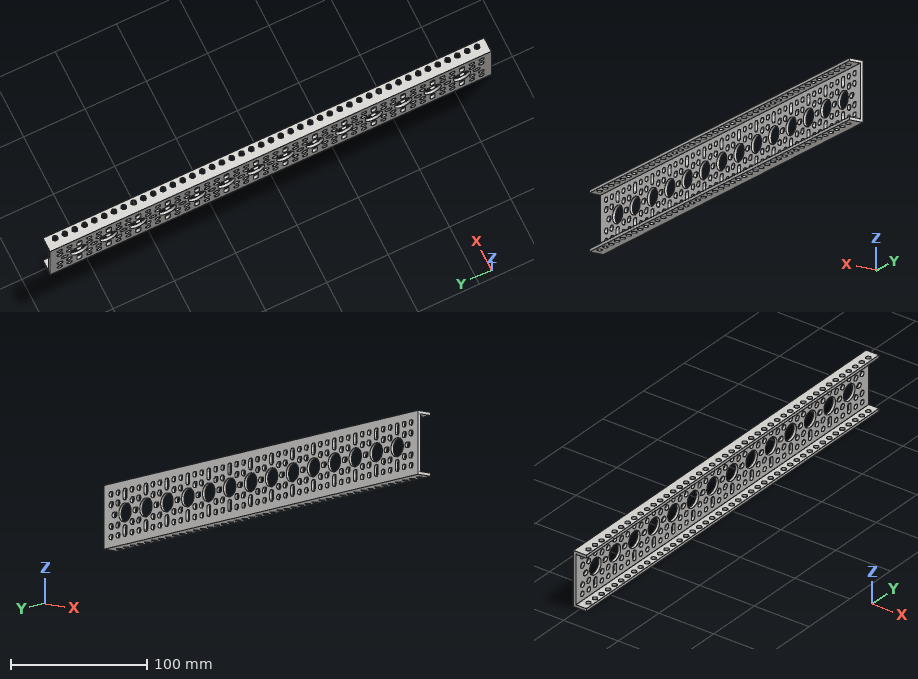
import cadquery as cq
import math

width = 12.0
length = 360.0
height = 48.0
thickness = 2.5

pitch = 8.0
large_hole_pitch = 3 * pitch
large_hole_count = 14
large_hole_diameter = 14.0
small_hole_diameter = 4.0
outer_row_z = 2 * pitch
flange_hole_count = 44
flange_hole_x = 8.0

square_pattern_radius = pitch * math.sqrt(2)
bolt_circle_radius = 12.0
diagonal_slot_radius = (square_pattern_radius + bolt_circle_radius) / 2
diagonal_slot_length = bolt_circle_radius - square_pattern_radius + small_hole_diameter
upright_slot_z = (square_pattern_radius + outer_row_z) / 2
upright_slot_length = outer_row_z - square_pattern_radius + small_hole_diameter

lengthwise_slot_length = large_hole_pitch - 2 * square_pattern_radius + small_hole_diameter


def centered_positions(count, spacing):
    return [(i - (count - 1) / 2) * spacing for i in range(count)]


large_hole_positions = centered_positions(large_hole_count, large_hole_pitch)
lengthwise_slot_positions = centered_positions(large_hole_count + 1, large_hole_pitch)


def web_points(points):
    """Points on the outer web face, given as (y, z)."""
    return cq.Workplane("YZ").pushPoints(points)


def make_channel():
    centering = (False, True, True)
    outer = cq.Workplane("XY").box(width, length, height, centered=centering)
    inner = cq.Workplane("XY").box(width, length, height - 2 * thickness, centered=centering)
    return outer.cut(inner.translate((thickness, 0, 0)))


def web_large_holes():
    points = [(y, 0) for y in large_hole_positions]
    return web_points(points).circle(large_hole_diameter / 2).extrude(thickness)


def web_outer_row_holes():
    """Rows near the top and bottom of the web, with a pair of holes astride each lengthwise slot."""
    points = [
        (y + side * pitch / 2, row * outer_row_z)
        for y in lengthwise_slot_positions
        for side in (-1, 1)
        for row in (-1, 1)
    ]
    return web_points(points).circle(small_hole_diameter / 2).extrude(thickness)


def web_diagonal_slots(slope):
    """Short slots on one diagonal of the large holes; slope is +1 for rising with Y, -1 for falling."""
    offset = diagonal_slot_radius * math.cos(math.pi / 4)
    offset_from_lengthwise_slot = large_hole_pitch / 2 - offset
    points = [
        (y - row * slope * offset_from_lengthwise_slot, row * offset)
        for y in lengthwise_slot_positions
        for row in (-1, 1)
    ]
    slots = web_points(points).slot2D(diagonal_slot_length, small_hole_diameter, 45 * slope)
    return slots.extrude(thickness)


def web_upright_slots():
    """Slots directly above and below each large hole."""
    points = [(y, row * upright_slot_z) for y in large_hole_positions for row in (-1, 1)]
    slots = web_points(points).slot2D(upright_slot_length, small_hole_diameter, 90)
    return slots.extrude(thickness)


def web_lengthwise_slots():
    """Slots at mid-height between the large holes and beyond the outermost ones."""
    points = [(y, 0) for y in lengthwise_slot_positions]
    slots = web_points(points).slot2D(lengthwise_slot_length, small_hole_diameter)
    return slots.extrude(thickness)


def flange_holes():
    """Holes through both flanges."""
    points = [(flange_hole_x, y) for y in centered_positions(flange_hole_count, pitch)]
    plane = cq.Workplane("XY").workplane(offset=-height / 2)
    return plane.pushPoints(points).circle(small_hole_diameter / 2).extrude(height)


result = make_channel()
for cutter in (
    web_large_holes(),
    web_outer_row_holes(),
    web_diagonal_slots(1),
    web_diagonal_slots(-1),
    web_upright_slots(),
    web_lengthwise_slots(),
    flange_holes(),
):
    result = result.cut(cutter)